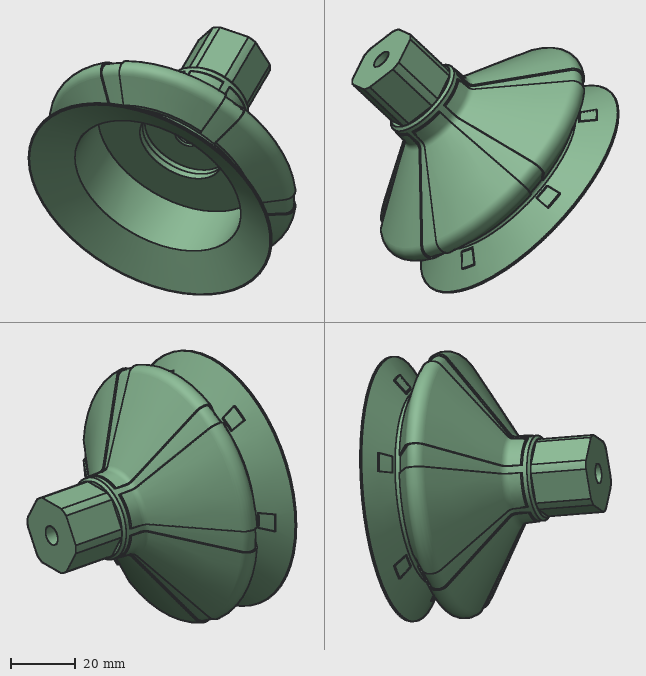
import cadquery as cq
import math


bulge_radius = 41.4
bulge_round = 3.6
bulge_y = 17.4
upper_cone_angle = 56.3
lower_cone_angle = 60.0
neck_radius = 13.6
neck_round = 2.4
panel_depth = 0.6
panel_bottom_y = 9.5
panel_top_y = 43.0
panel_top_radius = 13.4
panel_end_slope = 2.0

panel_count = 6
panel_pitch = 360 / panel_count
groove_angle = 10.4

lip_radius = 41.0
lip_thickness = 0.6
lip_inner_radius = 40.7
waist_radius = 29.9
waist_bottom_radius = 30.2
waist_bottom_y = 7.8
collar_radius = 13.2
collar_top_y = 45.9
collar_chamfer = 0.9

cavity_radius = 28.05
cavity_mouth_y = 6.1
cavity_floor_y = 23.6
floor_hole_radius = 13.9

pad_angle = 9.4
pad_bottom_y = 4.05
pad_top_y = 7.3
pad_step = 0.4

ring_bottom_y = 25.65
ring_top_y = 27.4
ring_radius = 16.55
flange_thickness = 2.5
shank_radius = 9.9
hex_top_y = 63.9
hex_across_flats = 22.3
hex_corner_radius = 12.2
bore_radius = 3.1
bore_mouth_radius = 3.6

bulge_center = (bulge_radius - bulge_round, bulge_y)


def polar(center, radius, angle):
    """Point at the given radius and angle (degrees from the radial direction) about a center."""
    turn = math.radians(angle)
    return (center[0] + radius * math.cos(turn), center[1] + radius * math.sin(turn))


def neck_round_center():
    """Center of the concave round, tangent to the neck and to the upper cone."""
    cos_cone = math.cos(math.radians(upper_cone_angle))
    sin_cone = math.sin(math.radians(upper_cone_angle))
    center_r = neck_radius + neck_round
    run = (bulge_center[0] - center_r) * cos_cone + bulge_round + neck_round
    return (center_r, bulge_y + run / sin_cone)


def lower_cone_end(inset):
    """Point where the lower cone, set in by `inset`, reaches the bottom end of the panels."""
    cone = math.radians(lower_cone_angle)
    cone_top_r = bulge_center[0] + (bulge_round - inset) / math.cos(cone)
    return (cone_top_r - (bulge_y - panel_bottom_y) * math.tan(cone), panel_bottom_y)


def add_skin(outline, inset):
    """Continue an outline along the skin, set in by `inset`, from the lower cone's end to the neck."""
    rim = bulge_round - inset
    fillet = neck_round + inset
    fillet_center = neck_round_center()
    return (
        outline.lineTo(*polar(bulge_center, rim, -lower_cone_angle))
        .threePointArc(polar(bulge_center, rim, 0), polar(bulge_center, rim, upper_cone_angle))
        .lineTo(*polar(fillet_center, fillet, 180 + upper_cone_angle))
        .threePointArc(
            polar(fillet_center, fillet, 180 + upper_cone_angle / 2),
            polar(fillet_center, fillet, 180),
        )
    )


def revolve(outline, angle=360.0):
    """Close a (radius, y) outline and turn it about the Y axis, centered on the +X direction."""
    solid = outline.close().revolve(angle, (0, 0, 0), (0, 1, 0))
    return solid.rotate((0, 0, 0), (0, 1, 0), -angle / 2)


def add_around_axis(body, shape, start_angle):
    """Join copies of a shape to a body, one per panel pitch, the first turned by `start_angle`."""
    for i in range(panel_count):
        body = body.union(shape.rotate((0, 0, 0), (0, 1, 0), start_angle + i * panel_pitch))
    return body


def disc(radius, bottom_y, top_y):
    """Cylinder on the Y axis between two heights."""
    plane = cq.Workplane("XZ", origin=(0, bottom_y, 0))
    return plane.circle(radius).extrude(bottom_y - top_y)


def make_cup_core():
    """Solid turned cup without panels, pads and cavity."""
    waist_mid_y = (waist_bottom_y + panel_bottom_y) / 2
    outline = (
        cq.Workplane("XY")
        .lineTo(lip_radius, 0)
        .lineTo(lip_radius, lip_thickness)
        .lineTo(waist_bottom_radius, waist_bottom_y)
        .threePointArc((waist_radius, waist_mid_y), lower_cone_end(panel_depth))
    )
    outline = (
        add_skin(outline, panel_depth)
        .lineTo(collar_radius, collar_top_y - collar_chamfer)
        .lineTo(collar_radius - collar_chamfer, collar_top_y)
        .lineTo(0, collar_top_y)
    )
    return revolve(outline)


def make_panel():
    """One raised panel of the bellows, reaching into the core so that it joins it."""
    outline = cq.Workplane("XY").moveTo(*lower_cone_end(0))
    outline = (
        add_skin(outline, 0)
        .lineTo(panel_top_radius, panel_top_y)
        .lineTo(panel_top_radius - panel_depth, panel_top_y + panel_depth * panel_end_slope)
        .lineTo(shank_radius, panel_top_y)
        .lineTo(shank_radius, panel_bottom_y)
    )
    return revolve(outline, panel_pitch - groove_angle)


def make_pad():
    """One raised pad on the lip cone, ending in an upright face at its lower end."""
    cone_slope = (lip_radius - waist_bottom_radius) / (waist_bottom_y - lip_thickness)
    bottom_r = lip_radius - (pad_bottom_y - lip_thickness) * cone_slope
    face_top_y = pad_bottom_y + pad_step
    top_r = bottom_r - (pad_top_y - face_top_y) * cone_slope
    outline = (
        cq.Workplane("XY")
        .moveTo(cavity_radius, pad_bottom_y)
        .lineTo(bottom_r, pad_bottom_y)
        .lineTo(bottom_r, face_top_y)
        .lineTo(top_r, pad_top_y)
        .lineTo(cavity_radius, pad_top_y)
    )
    return revolve(outline, pad_angle)


def make_cavity():
    """Space under the lip: a cone followed by a cylinder."""
    outline = (
        cq.Workplane("XY")
        .lineTo(lip_inner_radius, 0)
        .lineTo(cavity_radius, cavity_mouth_y)
        .lineTo(cavity_radius, cavity_floor_y)
        .lineTo(0, cavity_floor_y)
    )
    return revolve(outline)


def make_cup():
    """Rubber cup with its cavity and the seat for the retaining ring and the fitting."""
    cup = add_around_axis(make_cup_core(), make_panel(), panel_pitch / 2)
    cup = add_around_axis(cup, make_pad(), 0)
    flange_top_y = ring_top_y + flange_thickness
    return (
        cup.cut(make_cavity())
        .cut(disc(floor_hole_radius, cavity_floor_y, ring_bottom_y))
        .cut(disc(ring_radius, ring_bottom_y, flange_top_y))
        .cut(disc(shank_radius, flange_top_y, collar_top_y))
    )


def make_ring():
    """Retaining ring between the cup floor and the flange of the fitting."""
    ring = disc(ring_radius, ring_bottom_y, ring_top_y)
    return ring.cut(disc(floor_hole_radius, ring_bottom_y, ring_top_y))


def make_hexagon():
    """Hexagonal head with turned corners and two flats square to the Z axis."""
    across_corners = hex_across_flats / math.cos(math.radians(30))
    height = hex_top_y - collar_top_y
    plane = cq.Workplane("XZ", origin=(0, collar_top_y, 0))
    hexagon = plane.polygon(6, across_corners).extrude(-height)
    return hexagon.intersect(disc(hex_corner_radius, collar_top_y, hex_top_y))


def make_bore():
    """Through bore of the fitting with a 45 degree countersink at its lower end."""
    countersink_depth = bore_mouth_radius - bore_radius
    outline = (
        cq.Workplane("XY")
        .moveTo(0, ring_top_y)
        .lineTo(bore_mouth_radius, ring_top_y)
        .lineTo(bore_radius, ring_top_y + countersink_depth)
        .lineTo(bore_radius, hex_top_y)
        .lineTo(0, hex_top_y)
    )
    return revolve(outline)


def make_fitting():
    """Fitting: flange inside the cup, shank through the collar, hexagon outside."""
    flange = disc(ring_radius, ring_top_y, ring_top_y + flange_thickness)
    shank = disc(shank_radius, ring_top_y, collar_top_y)
    return flange.union(shank).union(make_hexagon()).cut(make_bore())


cup = make_cup()
ring = make_ring()
fitting = make_fitting()
result = cq.Compound.makeCompound([cup.val(), ring.val(), fitting.val()])